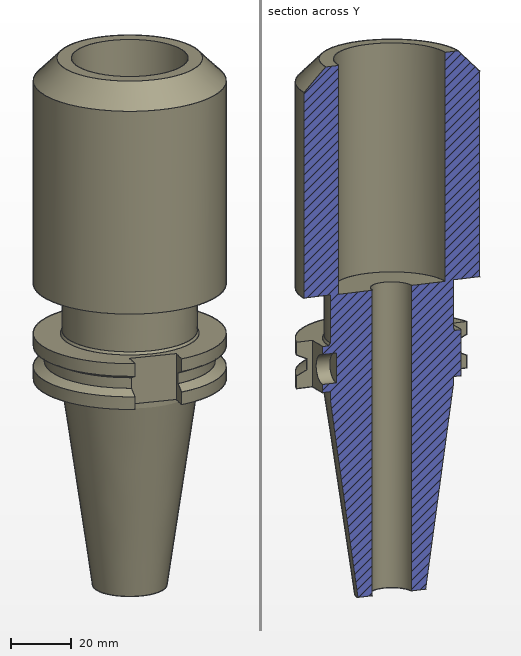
import cadquery as cq

total_height = 182.5
body_radius = 31.8
body_bottom = 104.5
top_chamfer = 7.8

gauge_radius = 22.3
taper_length = 68.5
taper_ratio = 7 / 24
small_end_radius = gauge_radius - taper_length * taper_ratio / 2

flange_radius = body_radius
flange_bottom = 71.4
flange_height = 15.9
flange_top = flange_bottom + flange_height
flange_middle = flange_bottom + flange_height / 2
groove_radius = 28.1
groove_floor_width = 3.7
groove_mouth_width = 7.1
neck_chamfer_width = 0.5
neck_chamfer_height = 1.0

notch_width = 16.0
notch_floor = 25.0
drive_hole_diameter = 10.0
drive_hole_depth = 5.0

tool_bore_diameter = 38.3
tool_bore_depth = total_height - body_bottom
through_hole_diameter = 14.0


def turned_body():
    """Revolve the half section of the solid holder about Z."""
    mouth_half = groove_mouth_width / 2
    floor_half = groove_floor_width / 2
    section = (
        cq.Workplane("XZ")
        .lineTo(small_end_radius, 0)
        .lineTo(gauge_radius, taper_length)
        .lineTo(gauge_radius, flange_bottom)
        .lineTo(flange_radius, flange_bottom)
        .lineTo(flange_radius, flange_middle - mouth_half)
        .lineTo(groove_radius, flange_middle - floor_half)
        .lineTo(groove_radius, flange_middle + floor_half)
        .lineTo(flange_radius, flange_middle + mouth_half)
        .lineTo(flange_radius, flange_top)
        .lineTo(gauge_radius + neck_chamfer_width, flange_top)
        .lineTo(gauge_radius, flange_top + neck_chamfer_height)
        .lineTo(gauge_radius, body_bottom)
        .lineTo(body_radius, body_bottom)
        .lineTo(body_radius, total_height - top_chamfer)
        .lineTo(body_radius - top_chamfer, total_height)
        .lineTo(0, total_height)
        .close()
    )
    return section.revolve(360, (0, 0, 0), (0, 1, 0))


def drive_notch(side):
    """Block that cuts one notch; side is -1 for -X and +1 for +X."""
    depth = flange_radius - notch_floor
    middle = side * (notch_floor + depth / 2)
    return cq.Workplane("XY").box(depth, notch_width, flange_height).translate((middle, 0, flange_middle))


def drive_hole():
    """Blind radial hole running inward from the -X notch floor."""
    start = cq.Workplane("YZ", origin=(-notch_floor, 0, flange_middle))
    return start.circle(drive_hole_diameter / 2).extrude(drive_hole_depth)


def axial_bores():
    """Tool bore from the top and the smaller hole through the whole length."""
    tool_bore = (
        cq.Workplane("XY", origin=(0, 0, total_height))
        .circle(tool_bore_diameter / 2)
        .extrude(-tool_bore_depth)
    )
    through_hole = cq.Workplane("XY").circle(through_hole_diameter / 2).extrude(total_height)
    return tool_bore.union(through_hole)


result = turned_body().cut(axial_bores())
for notch_side in (-1, 1):
    result = result.cut(drive_notch(notch_side))
result = result.cut(drive_hole())